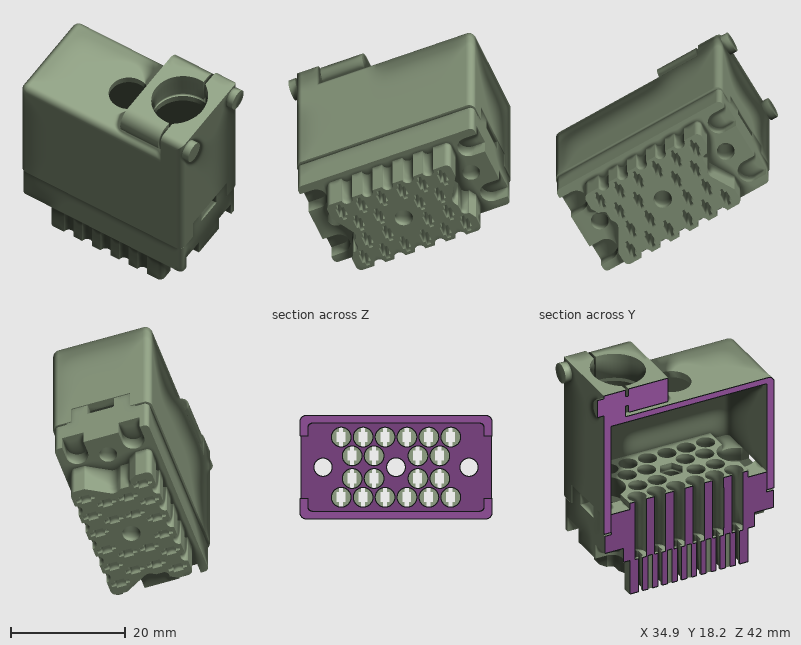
import cadquery as cq
import math


HOOD_LENGTH = 33.6
HOOD_WIDTH = 18.15
HOOD_BOTTOM = 13.6
HOOD_TOP = 36.45
HOOD_FILLET = 1.25
ROOF = 1.25
CENTRE_HOLE_R = 3.52
PAD_FACE_X = 12.45
PAD_TOP = 41.88
PAD_CABLE_R = 6.4
PAD_CABLE_X = 8.8

BAR_LEFT_X = 4.1
BAR_RIGHT_X = 11.95
BAR_BOTTOM = 37.1
BAR_TOP = 41.95
BAR_CABLE_R = 5.55
BAR_CABLE_X = 11.25
CLAMP_SCREW_Y = 7.0
CLAMP_SHANK_R = 1.1
CLAMP_HEAD_R = 1.85
CLAMP_HEAD_LENGTH = 1.3

INSERT_LENGTH = 33.27
INSERT_WIDTH = 17.35
INSERT_BOTTOM = 6.85
SHOULDER_TOP = 13.25
INSERT_FILLET = 0.85
LIP_LENGTH = 30.65
LIP_WIDTH = 15.27
LIP_FILLET = 0.85
TONGUE_BASE_WIDTH = 12.6
TONGUE_WIDTH = 10.83
TONGUE_TOP = 17.35
DECK_LENGTH = 23.4
DECK_RISE = 1.25
DECK_TOP = TONGUE_TOP + DECK_RISE

JACK_X = 12.7
JACK_SEAT_R = 3.35
JACK_SEAT_Z = 14.8
JACK_HOLE_R = 1.55
WINDOW_WIDTH = 4.85
CENTRE_BORE_R = 1.6
NUT_ACROSS_CORNERS = 4.55
NUT_DEPTH = 1.25
SLOT_Y = 5.15
SLOT_R = 1.97
SLOT_STRAIGHT = 2.25
SLOT_HEIGHT = 2.8

CONTACT_PITCH = 3.8
CONTACT_R = 1.68
INNER_ROW_Y = 1.97
OUTER_ROW_Y = 5.25
OPENING_X = 1.55
OPENING_Y = 1.75
KEYWAY_WIDTH = 0.7

BLOCK_LENGTH = 23.37
BLOCK_WIDTH = 14.95
BLOCK_FILLET = 0.95
GROOVE_R = 1.0
RIB_REACH = 2.1
V_SLOPE = math.tan(math.radians(30))
V_FILLET = 1.25
KEY_START_Y = 4.7
RIB_Y_NEAR = 1.25
RIB_Y_FAR = 2.73
FLANK_Y_NEAR = 3.35

ENDS = (-1, 1)
GROOVE_COLUMNS = (-2, -1, 0, 1, 2)
INNER_COLUMNS = (-2, -1, 1, 2)
OUTER_COLUMNS = (-2.5, -1.5, -0.5, 0.5, 1.5, 2.5)
OVERRUN = 0.4


def block(x_min, x_max, width, z_min, z_max):
    """Box centred on the XZ plane, given by its X and Z limits."""
    return (
        cq.Workplane("XY")
        .box(x_max - x_min, width, z_max - z_min, centered=(False, True, False))
        .translate((x_min, 0, z_min))
    )


def cylinder_z(x, y, radius, z_min, z_max):
    return cq.Workplane("XY", origin=(x, y, z_min)).circle(radius).extrude(z_max - z_min)


def cylinder_x(y, z, radius, x_min, x_max):
    return cq.Workplane("YZ", origin=(x_min, y, z)).circle(radius).extrude(x_max - x_min)


def hood_main():
    """Low part of the hood, rounded on its -X end and along its top edges."""
    shell = block(-HOOD_LENGTH / 2, PAD_FACE_X, HOOD_WIDTH, HOOD_BOTTOM, HOOD_TOP)
    rounded_edges = shell.edges("(<X and |Z) or (>Z and |X) or (<X and >Z)")
    return rounded_edges.fillet(HOOD_FILLET)


def hood_column():
    """Tall +X end: rounded upright corners meet rounded top edges in a mitre."""
    x_end = HOOD_LENGTH / 2
    plain = block(PAD_FACE_X, x_end, HOOD_WIDTH, HOOD_BOTTOM, PAD_TOP)
    upright = plain.edges(">X and |Z").fillet(HOOD_FILLET)
    crowned = plain.edges(">Z and |X").fillet(HOOD_FILLET)
    return upright.intersect(crowned)


def clamp_bar():
    """Bar with fully rounded sides, held clear of the hood by the screw shanks."""
    return (
        cq.Workplane("YZ", origin=(BAR_LEFT_X, 0, (BAR_BOTTOM + BAR_TOP) / 2))
        .slot2D(HOOD_WIDTH, BAR_TOP - BAR_BOTTOM)
        .extrude(BAR_RIGHT_X - BAR_LEFT_X)
    )


def clamp_screw(y):
    """Screw joining the bar to the tall end of the hood, head on the +X face."""
    z = (BAR_BOTTOM + BAR_TOP) / 2
    x_end = HOOD_LENGTH / 2
    shank = cylinder_x(y, z, CLAMP_SHANK_R, BAR_RIGHT_X - OVERRUN, x_end)
    head = cylinder_x(y, z, CLAMP_HEAD_R, x_end, x_end + CLAMP_HEAD_LENGTH)
    return shank.union(head)


def hood_cavity():
    """Hollow under the roof, with the same outline as the lip of the insert."""
    return (
        block(-LIP_LENGTH / 2, LIP_LENGTH / 2, LIP_WIDTH, HOOD_BOTTOM, HOOD_TOP - ROOF)
        .edges("|Z")
        .fillet(LIP_FILLET)
    )


def cable_opening():
    """Two different arcs: one in the bar and roof, a wider one in the tall end."""
    z_min = HOOD_TOP - ROOF - OVERRUN
    z_max = BAR_TOP + OVERRUN
    bar_arc = cylinder_z(BAR_CABLE_X, 0, BAR_CABLE_R, z_min, z_max)
    pad_arc = cylinder_z(PAD_CABLE_X, 0, PAD_CABLE_R, z_min, z_max)
    bar_side = block(0, PAD_FACE_X, HOOD_WIDTH, z_min, z_max)
    pad_side = block(PAD_FACE_X, HOOD_LENGTH / 2, HOOD_WIDTH, z_min, z_max)
    return bar_arc.intersect(bar_side).union(pad_arc.intersect(pad_side))


def make_hood():
    body = hood_main().union(hood_column()).union(clamp_bar())
    for side in ENDS:
        body = body.union(clamp_screw(side * CLAMP_SCREW_Y))
    body = body.cut(hood_cavity()).cut(cable_opening())
    body = body.cut(cylinder_z(0, 0, CENTRE_HOLE_R, HOOD_TOP - ROOF - OVERRUN, HOOD_TOP + OVERRUN))
    tongue_notches = block(-HOOD_LENGTH / 2, HOOD_LENGTH / 2, TONGUE_WIDTH, HOOD_BOTTOM, TONGUE_TOP)
    return body.cut(tongue_notches)


def insert_body():
    """Shoulder, lip that enters the hood, end tongues and the raised contact deck."""
    half = INSERT_LENGTH / 2
    shoulder = block(-half, half, INSERT_WIDTH, INSERT_BOTTOM, SHOULDER_TOP)
    body = shoulder.edges("|Z").fillet(INSERT_FILLET)
    lip = block(-LIP_LENGTH / 2, LIP_LENGTH / 2, LIP_WIDTH, SHOULDER_TOP, TONGUE_TOP)
    body = body.union(lip.edges("|Z").fillet(LIP_FILLET))
    body = body.union(block(-half, half, TONGUE_BASE_WIDTH, SHOULDER_TOP, HOOD_BOTTOM))
    body = body.union(block(-half, half, TONGUE_WIDTH, HOOD_BOTTOM, TONGUE_TOP))
    return body.union(block(-DECK_LENGTH / 2, DECK_LENGTH / 2, LIP_WIDTH, TONGUE_TOP, DECK_TOP))


def pin_block():
    """Plug part around the contacts, grooved on its sides and notched on its ends."""
    body = block(-BLOCK_LENGTH / 2, BLOCK_LENGTH / 2, BLOCK_WIDTH, 0, INSERT_BOTTOM)
    body = body.edges("|Z").fillet(BLOCK_FILLET)
    for column in GROOVE_COLUMNS:
        for side in ENDS:
            x = column * CONTACT_PITCH
            body = body.cut(cylinder_z(x, side * BLOCK_WIDTH / 2, GROOVE_R, 0, INSERT_BOTTOM))
    notch = end_notch()
    return body.cut(notch).cut(notch.mirror("YZ"))


def end_notch():
    """Keyed notch of the -X end: a long slope on +Y, a rib and a short flank on -Y."""
    x_end = -BLOCK_LENGTH / 2
    rib_x = INNER_COLUMNS[0] * CONTACT_PITCH - RIB_REACH
    valley_y = (KEY_START_Y - RIB_Y_NEAR - (rib_x - x_end) / V_SLOPE) / 2
    valley_x = x_end + (KEY_START_Y - valley_y) * V_SLOPE
    flank_x = x_end + (KEY_START_Y - FLANK_Y_NEAR) * V_SLOPE
    notch = (
        cq.Workplane("XY")
        .moveTo(x_end, KEY_START_Y)
        .lineTo(valley_x, valley_y)
        .lineTo(rib_x, -RIB_Y_NEAR)
        .lineTo(rib_x, -RIB_Y_FAR)
        .radiusArc((flank_x, -FLANK_Y_NEAR), GROOVE_R)
        .lineTo(x_end, -KEY_START_Y)
        .close()
        .extrude(INSERT_BOTTOM)
    )
    return notch.edges(">X and |Z").fillet(V_FILLET)


def contact_bore(x, y):
    """Round chamber above a rectangular opening with a keyway across it."""
    chamber = cylinder_z(x, y, CONTACT_R, INSERT_BOTTOM, DECK_TOP)
    base = cq.Workplane("XY", origin=(x, y, 0))
    keyway = base.rect(KEYWAY_WIDTH, 2 * CONTACT_R).extrude(INSERT_BOTTOM)
    opening = base.rect(OPENING_X, OPENING_Y).extrude(INSERT_BOTTOM)
    return chamber.union(keyway.union(opening))


def jack_screw_cut(end):
    """Through hole, round seat and the window from the end face into the seat."""
    x = end * JACK_X
    hole = cylinder_z(x, 0, JACK_HOLE_R, 0, DECK_TOP)
    seat = cylinder_z(x, 0, JACK_SEAT_R, JACK_SEAT_Z, DECK_TOP)
    x_range = sorted((x, end * INSERT_LENGTH / 2))
    window = block(*x_range, WINDOW_WIDTH, JACK_SEAT_Z, DECK_TOP)
    return hole.union(seat).union(window)


def mounting_slot(end, side):
    """Round-ended slot in the underside, open at the end face."""
    face_x = end * INSERT_LENGTH / 2
    round_x = face_x - end * SLOT_STRAIGHT
    y = side * SLOT_Y
    top = INSERT_BOTTOM + SLOT_HEIGHT
    x_range = sorted((round_x, face_x))
    straight = block(*x_range, 2 * SLOT_R, INSERT_BOTTOM, top).translate((0, y, 0))
    return straight.union(cylinder_z(round_x, y, SLOT_R, INSERT_BOTTOM, top))


def make_insert():
    body = insert_body().union(pin_block())
    for side in ENDS:
        for column in INNER_COLUMNS:
            body = body.cut(contact_bore(column * CONTACT_PITCH, side * INNER_ROW_Y))
        for column in OUTER_COLUMNS:
            body = body.cut(contact_bore(column * CONTACT_PITCH, side * OUTER_ROW_Y))
    for end in ENDS:
        body = body.cut(jack_screw_cut(end))
        for side in ENDS:
            body = body.cut(mounting_slot(end, side))
    nut_plane = cq.Workplane("XY", origin=(0, 0, DECK_TOP - NUT_DEPTH))
    nut_recess = nut_plane.polygon(6, NUT_ACROSS_CORNERS).extrude(NUT_DEPTH)
    return body.cut(nut_recess).cut(cylinder_z(0, 0, CENTRE_BORE_R, 0, DECK_TOP))


hood = make_hood()
insert = make_insert()
result = cq.Compound.makeCompound([hood.val(), insert.val()])